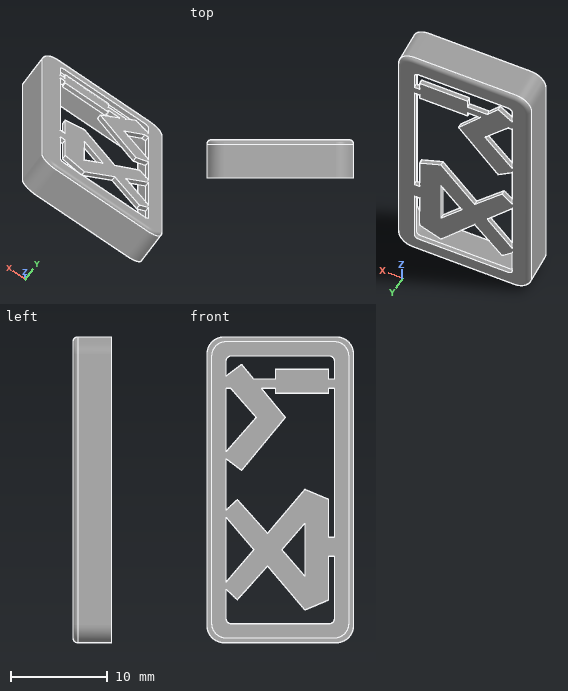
import cadquery as cq

width = 15.2
height = 31.7
depth = 4.0
corner_radius = 1.8
inner_corner_radius = 1.5

wall = 0.5
plate_thickness = 0.5
back_edge_radius = plate_thickness
back_y = depth / 2
front_y = -depth / 2
plate_front_y = back_y - plate_thickness
wall_depth = depth - plate_thickness

rim = 2.0
window_radius = 0.5
window_width = width - 2 * rim
window_height = height - 2 * rim
window_x = window_width / 2

symbol_right_x = 5.0
arm_overlap = 0.5
root_x = -window_x - arm_overlap

bar_left_x = -0.5
bar_bottom_z = 10.0
bar_top_z = 12.5
bar_bridge_z = 11.0
bar_bridge_width = 1.0

chevron_z = 7.5
chevron_tip_x = 0.54
chevron_notch_x = -2.5
chevron_end_x = -4.0
chevron_end_rise = 5.5
chevron_cap_slope = 0.75
chevron_notch_slope = 1.14

cross_z = -6.2
cross_notch_slope = 1.17
cross_notch_x = -2.75
cross_end_x = -4.45
cross_end_rise = 5.2
cross_cap_slope = 0.95
cross_crotch_x = -1.31
cross_crotch_rise = 1.71
cross_peak_x = 2.55
cross_peak_rise = 6.26
cross_shoulder_rise = 5.23
triangle_tip_x = 0.18
triangle_right_x = cross_peak_x
triangle_rise = 2.73
cross_bridge_z = -5.9
cross_bridge_width = 2.0


def block(size_x, size_z, y_start, length):
    """Rectangular block centred on the Y axis, running from y_start toward +Y."""
    plane = cq.Workplane("XZ", origin=(0, y_start, 0))
    return plane.rect(size_x, size_z).extrude(-length)


def rounded_block(size_x, size_z, radius, y_start, length):
    """Block with its four long edges rounded."""
    return block(size_x, size_z, y_start, length).edges("|Y").fillet(radius)


def plate_slab(points):
    """Closed XZ outline extruded through the thickness of the face plate."""
    plane = cq.Workplane("XZ", origin=(0, plate_front_y, 0))
    return plane.polyline(points).close().extrude(-plate_thickness)


def plate_bar(x_start, x_end, z_bottom, z_top):
    """Upright rectangle through the thickness of the face plate."""
    return plate_slab([(x_start, z_bottom), (x_end, z_bottom), (x_end, z_top), (x_start, z_top)])


def mirrored_outline(middle_z, upper):
    """Outline from (x, rise) points above middle_z and their mirror image below it."""
    above = [(x, middle_z + rise) for x, rise in upper]
    below = [(x, middle_z - rise) for x, rise in reversed(upper) if rise > 0]
    return above + below


def bridge(x_start, middle_z, bridge_width):
    """Bar from x_start into the +X side of the rim."""
    half = bridge_width / 2
    return plate_bar(x_start, window_x + arm_overlap, middle_z - half, middle_z + half)


def bar_symbol():
    bar = plate_bar(bar_left_x, symbol_right_x, bar_bottom_z, bar_top_z)
    return bar.union(bridge(root_x, bar_bridge_z, bar_bridge_width))


def chevron_symbol():
    root_outer = chevron_end_rise - chevron_cap_slope * (chevron_end_x - root_x)
    root_inner = chevron_notch_slope * (chevron_notch_x - root_x)
    outer = [(root_x, root_outer), (chevron_end_x, chevron_end_rise), (chevron_tip_x, 0)]
    notch = [(root_x, root_inner), (chevron_notch_x, 0)]
    symbol = plate_slab(mirrored_outline(chevron_z, outer))
    return symbol.cut(plate_slab(mirrored_outline(chevron_z, notch)))


def cross_symbol():
    root_outer = cross_end_rise - cross_cap_slope * (cross_end_x - root_x)
    root_inner = cross_notch_slope * (cross_notch_x - root_x)
    outer = [
        (root_x, root_outer),
        (cross_end_x, cross_end_rise),
        (cross_crotch_x, cross_crotch_rise),
        (cross_peak_x, cross_peak_rise),
        (symbol_right_x, cross_shoulder_rise),
    ]
    notch = [(root_x, root_inner), (cross_notch_x, 0)]
    triangle = [(triangle_tip_x, 0), (triangle_right_x, triangle_rise)]
    symbol = plate_slab(mirrored_outline(cross_z, outer))
    for opening in (notch, triangle):
        symbol = symbol.cut(plate_slab(mirrored_outline(cross_z, opening)))
    return symbol.union(bridge(triangle_right_x, cross_bridge_z, cross_bridge_width))


def frame_wall():
    outer = rounded_block(width, height, corner_radius, front_y, wall_depth)
    inner = rounded_block(width - 2 * wall, height - 2 * wall, inner_corner_radius, front_y, wall_depth)
    return outer.cut(inner)


def face_plate():
    envelope = rounded_block(width, height, corner_radius, front_y, depth)
    envelope = envelope.faces(">Y").edges().fillet(back_edge_radius)
    plate = envelope.intersect(block(width, height, plate_front_y, plate_thickness))
    window = rounded_block(window_width, window_height, window_radius, plate_front_y, plate_thickness)
    plate = plate.cut(window)
    for symbol in (bar_symbol(), chevron_symbol(), cross_symbol()):
        plate = plate.union(symbol)
    return plate


frame = frame_wall()
plate = face_plate()
result = cq.Compound.makeCompound([frame.val(), *plate.solids().vals()])